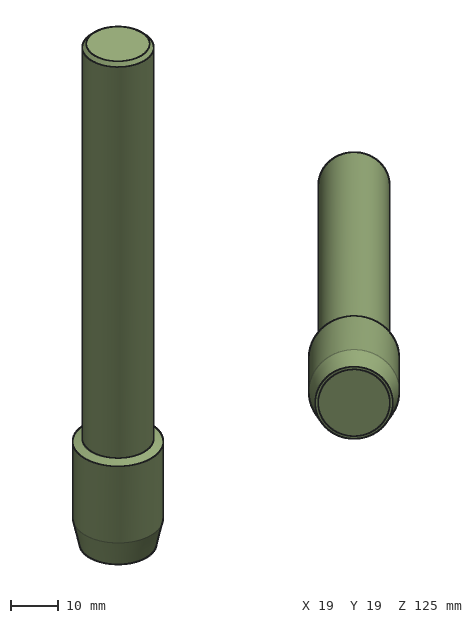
import cadquery as cq

total_length = 125.0

rod_diameter = 15.0
rod_chamfer = 0.9

sleeve_diameter = 19.0
sleeve_tip_diameter = 16.2
taper_height = 6.4
shoulder_height = 25.5
sleeve_height = 26.2


def make_rod():
    """Round rod over the full length, chamfered at its upper end."""
    rod = cq.Workplane("XY").circle(rod_diameter / 2).extrude(total_length)
    return rod.faces(">Z").chamfer(rod_chamfer)


def make_sleeve():
    """Sleeve with a tapered tip, a sloped shoulder and a through bore that fits the rod."""
    bore_radius = rod_diameter / 2
    outer_radius = sleeve_diameter / 2
    profile = (
        cq.Workplane("XZ")
        .moveTo(bore_radius, 0)
        .lineTo(sleeve_tip_diameter / 2, 0)
        .lineTo(outer_radius, taper_height)
        .lineTo(outer_radius, shoulder_height)
        .lineTo(bore_radius, sleeve_height)
        .close()
    )
    return profile.revolve(360, (0, 0, 0), (0, 1, 0))


rod = make_rod()
sleeve = make_sleeve()

result = cq.Compound.makeCompound([rod.val(), sleeve.val()])